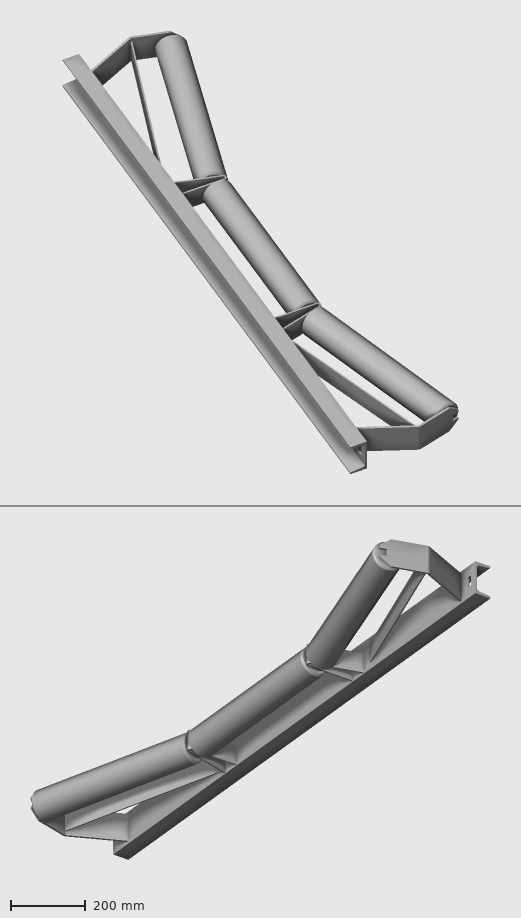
import cadquery as cq
import math


beam_length = 1701.0
beam_height = 100.0
beam_depth = 50.0
web_thickness = 6.0
flange_thickness = 9.0
root_radius = 9.0
toe_radius = 4.3
flange_slope = 0.08
beam_slot_width = 15.0
beam_slot_height = 30.0
beam_slot_x = 822.0

roller_length = 537.0
roller_diameter = 89.0
roller_chamfer = 5.0
axle_flat = 20.0
middle_roller_y = 118.0
middle_roller_z = -20.0
trough_angle = 15.0
wing_tilt = 2.0
wing_inner_x = 298.0
wing_inner_y = 120.0

saddle_thickness = 5.0
saddle_height = 60.0
saddle_z = -17.0
roller_gap = 2.0
saddle_top_y = 152.0
saddle_bend_radius = 2.5

bracket_thickness = 7.0
bracket_height = 84.0
outer_gap = 5.0
outer_bend_radius = 5.0
outer_tip_y = 291.0
outer_bend_y = 155.0
outer_foot_x = 785.0
tip_chamfer_length = 30.0
tip_chamfer_height = 24.0

brace_thickness = 4.3
brace_height = 60.0
brace_foot_x = 368.0

inner_reach = roller_gap + saddle_thickness
outer_reach = outer_gap + bracket_thickness
trough_cos = math.cos(math.radians(trough_angle))
trough_slope = math.tan(math.radians(trough_angle))
foot_overrun = 35.0


def place_on_right_wing(body):
    """Move a body built along +X from the origin onto the axis of the right wing roller."""
    tilted = body.rotate((0, 0, 0), (0, 1, 0), -wing_tilt)
    turned = tilted.rotate((0, 0, 0), (0, 0, 1), trough_angle)
    return turned.translate((wing_inner_x, wing_inner_y, middle_roller_z))


def mirror_to_left(body):
    return body.mirror("YZ")


def make_beam():
    """Channel with inward-sloping flanges, open towards -Y."""
    half_height = beam_height / 2
    taper = flange_slope * beam_depth / 2
    tip_z = half_height - flange_thickness + taper
    root_z = half_height - flange_thickness - taper + flange_slope * web_thickness
    profile = (
        cq.Workplane("YZ", origin=(-beam_length / 2, 0, 0))
        .moveTo(0, -half_height)
        .lineTo(0, half_height)
        .lineTo(-beam_depth, half_height)
        .lineTo(-beam_depth, tip_z)
        .lineTo(-web_thickness, root_z)
        .lineTo(-web_thickness, -root_z)
        .lineTo(-beam_depth, -tip_z)
        .lineTo(-beam_depth, -half_height)
        .close()
    )
    beam = profile.extrude(beam_length)
    for side in (-1, 1):
        root = cq.NearestToPointSelector((0, -web_thickness, side * root_z))
        beam = beam.edges("|X").edges(root).fillet(root_radius)
        toe = cq.NearestToPointSelector((0, -beam_depth, side * tip_z))
        beam = beam.edges("|X").edges(toe).fillet(toe_radius)
    slots = (
        cq.Workplane("XZ")
        .pushPoints([(-beam_slot_x, 0), (beam_slot_x, 0)])
        .rect(beam_slot_width, beam_slot_height)
        .extrude(web_thickness)
    )
    return beam.cut(slots)


def make_axle(start_reach, end_reach):
    """Square axle along +X, reaching past both ends of a roller that starts at X = 0."""
    length = start_reach + roller_length + end_reach
    return cq.Workplane("YZ", origin=(-start_reach, 0, 0)).rect(axle_flat, axle_flat).extrude(length)


def make_roller(axle):
    """Roller along +X with its shell starting at X = 0, in one piece with its axle."""
    shell = cq.Workplane("YZ").circle(roller_diameter / 2).extrude(roller_length)
    return shell.faces("<X or >X").chamfer(roller_chamfer).union(axle)


def line_crossing(first, second):
    """Crossing point of two lines, each given by a point and a direction."""
    (x1, y1), (dx1, dy1) = first
    (x2, y2), (dx2, dy2) = second
    step = ((x2 - x1) * dy2 - (y2 - y1) * dx2) / (dx1 * dy2 - dy1 * dx2)
    return (x1 + step * dx1, y1 + step * dy1)


def bent_plate(path, thickness, height, bend_radius=0):
    """Plate whose right-hand face follows the path; its thickness lies to the left of the path."""
    offset_lines = []
    for (x1, y1), (x2, y2) in zip(path, path[1:]):
        length = math.hypot(x2 - x1, y2 - y1)
        dx = (x2 - x1) / length
        dy = (y2 - y1) / length
        offset_lines.append(((x1 - dy * thickness, y1 + dx * thickness), (dx, dy)))
    far_side = [offset_lines[0][0]]
    far_side += [line_crossing(before, after) for before, after in zip(offset_lines, offset_lines[1:])]
    (last_x, last_y), (dx, dy) = offset_lines[-1]
    last_length = math.dist(path[-2], path[-1])
    far_side.append((last_x + dx * last_length, last_y + dy * last_length))

    plate = cq.Workplane("XY").polyline(path + far_side[::-1]).close().extrude(height / 2, both=True)
    for outer, inner in zip(path[1:-1], far_side[1:-1]):
        plate = plate.edges(cq.NearestToPointSelector((*outer, 0))).fillet(bend_radius + thickness)
        plate = plate.edges(cq.NearestToPointSelector((*inner, 0))).fillet(bend_radius)
    return plate


def trim_at_web(plate):
    """Cut a plate flush with the back of the beam web."""
    below_web = cq.Workplane("XY").box(2 * beam_length, 2 * beam_depth, 2 * beam_height)
    return plate.cut(below_web.translate((0, -beam_depth, 0)))


def leg_x(axis_offset, y):
    """X of a plate face that stands square to the right wing roller.

    The offset runs along the roller axis from the roller's inner end.
    """
    return wing_inner_x + axis_offset / trough_cos - (y - wing_inner_y) * trough_slope


def make_saddle(middle_axle, wing_axle):
    """Folded bracket between the middle roller and the right wing roller."""
    upright_x = roller_length / 2 + roller_gap
    path = [
        (leg_x(-roller_gap, -foot_overrun), -foot_overrun),
        (leg_x(-roller_gap, saddle_top_y), saddle_top_y),
        (upright_x, saddle_top_y),
        (upright_x, -foot_overrun),
    ]
    saddle = bent_plate(path, saddle_thickness, saddle_height, saddle_bend_radius)
    saddle = trim_at_web(saddle.translate((0, 0, saddle_z)))
    return saddle.cut(middle_axle).cut(wing_axle)


outer_face_offset = roller_length * math.cos(math.radians(wing_tilt)) + outer_reach
outer_bend_x = leg_x(outer_face_offset, outer_bend_y)


def make_outer_bracket():
    """Bent plate that carries the outer end of the right wing roller in an open slot."""
    foot_slope = (outer_bend_x - outer_foot_x) / outer_bend_y
    path = [
        (outer_foot_x - foot_overrun * foot_slope, -foot_overrun),
        (outer_bend_x, outer_bend_y),
        (leg_x(outer_face_offset, outer_tip_y), outer_tip_y),
    ]
    bracket = trim_at_web(bent_plate(path, bracket_thickness, bracket_height, outer_bend_radius))

    corner_y = outer_tip_y - tip_chamfer_length
    half_height = bracket_height / 2
    for side in (-1, 1):
        corner = (
            cq.Workplane("YZ")
            .moveTo(corner_y, side * half_height)
            .lineTo(outer_tip_y, side * (half_height - tip_chamfer_height))
            .lineTo(outer_tip_y + tip_chamfer_length, side * half_height)
            .close()
            .extrude(beam_length)
        )
        bracket = bracket.cut(corner)

    slot_depth = outer_tip_y - wing_inner_y
    slot = (
        cq.Workplane("XY")
        .box(2 * outer_reach, slot_depth, axle_flat)
        .translate((roller_length + outer_reach, (slot_depth - axle_flat) / 2, 0))
    )
    return bracket.cut(place_on_right_wing(slot))


def make_brace(bracket):
    """Flat strut from the web to the inside of the bend in the right outer bracket."""
    top_x = outer_bend_x - bracket_thickness / 2
    foot_slope = (top_x - brace_foot_x) / outer_bend_y
    path = [
        (brace_foot_x - foot_overrun * foot_slope, -foot_overrun),
        (top_x, outer_bend_y),
    ]
    return trim_at_web(bent_plate(path, brace_thickness, brace_height)).cut(bracket)


beam = make_beam()

middle_place = (-roller_length / 2, middle_roller_y, middle_roller_z)
middle_axle = make_axle(inner_reach, inner_reach)
middle_roller = make_roller(middle_axle).translate(middle_place)

wing_axle = make_axle(inner_reach, outer_reach)
wing_roller = place_on_right_wing(make_roller(wing_axle))
saddle = make_saddle(middle_axle.translate(middle_place), place_on_right_wing(wing_axle))
outer_bracket = make_outer_bracket()
brace = make_brace(outer_bracket)

right_bodies = [wing_roller, saddle, outer_bracket, brace]
left_bodies = [mirror_to_left(body) for body in right_bodies]

bodies = [beam, middle_roller] + right_bodies + left_bodies
result = cq.Compound.makeCompound([body.solids().val() for body in bodies])